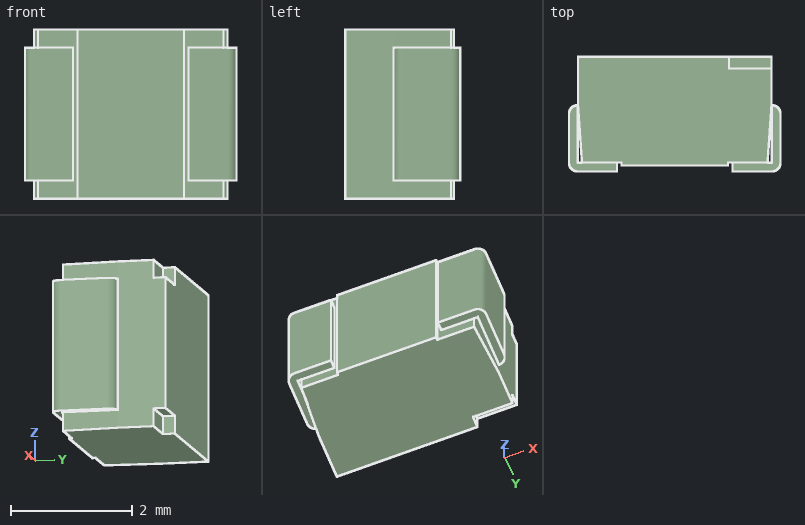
import cadquery as cq
import math


OVERALL_LENGTH = 3.5
OVERALL_HEIGHT = 1.9
BODY_WIDTH = 2.8

TERMINAL_THICKNESS = 0.15
TERMINAL_HEIGHT = 1.1
TERMINAL_WIDTH = 2.2
FOOT_LENGTH = 0.8
CORNER_RADIUS = TERMINAL_THICKNESS

BODY_LENGTH = OVERALL_LENGTH - 2 * TERMINAL_THICKNESS
RIDGE_LENGTH = 1.76
RIDGE_DEPTH = 0.05
DRAFT_ANGLE = 4.0
CONTACT_LAND = 0.01

NOTCH_LENGTH = 0.7
NOTCH_HEIGHT = 0.2
NOTCH_DEPTH = (BODY_WIDTH - TERMINAL_WIDTH) / 2


def make_body():
    """Prism with drafted lower sides and a shallow ridge between the terminal feet."""
    half_length = BODY_LENGTH / 2
    half_ridge = RIDGE_LENGTH / 2
    underside = TERMINAL_THICKNESS
    ridge_face = underside - RIDGE_DEPTH
    draft_start = TERMINAL_HEIGHT - CONTACT_LAND
    draft_inset = (draft_start - underside) * math.tan(math.radians(DRAFT_ANGLE))
    half_underside = half_length - draft_inset
    right_side = [
        (half_ridge, ridge_face),
        (half_ridge, underside),
        (half_underside, underside),
        (half_length, draft_start),
        (half_length, OVERALL_HEIGHT),
    ]
    left_side = [(-x, y) for x, y in reversed(right_side)]
    outline = cq.Workplane("XY").polyline(right_side + left_side).close()
    return outline.extrude(BODY_WIDTH / 2, both=True)


def make_terminal():
    """L-shaped strip at the -X end, rounded at its outer bend and outer tip."""
    outer = -OVERALL_LENGTH / 2
    inner = outer + TERMINAL_THICKNESS
    foot_end = outer + FOOT_LENGTH
    round_end = outer + CORNER_RADIUS
    outline = (
        cq.Workplane("XY")
        .moveTo(foot_end, 0)
        .lineTo(foot_end, TERMINAL_THICKNESS)
        .lineTo(inner, TERMINAL_THICKNESS)
        .lineTo(inner, TERMINAL_HEIGHT)
        .radiusArc((outer, TERMINAL_HEIGHT - CORNER_RADIUS), -CORNER_RADIUS)
        .lineTo(outer, CORNER_RADIUS)
        .radiusArc((round_end, 0), -CORNER_RADIUS)
        .close()
    )
    return outline.extrude(TERMINAL_WIDTH / 2, both=True)


def make_notch():
    """Cutter for the notch at the +Z end."""
    return (
        cq.Workplane("XY")
        .box(NOTCH_LENGTH, NOTCH_HEIGHT, NOTCH_DEPTH)
        .translate((
            (BODY_LENGTH - NOTCH_LENGTH) / 2,
            OVERALL_HEIGHT - NOTCH_HEIGHT / 2,
            (BODY_WIDTH - NOTCH_DEPTH) / 2,
        ))
    )


terminal = make_terminal()
notch = make_notch()

result = (
    make_body()
    .cut(notch)
    .cut(notch.mirror("XY"))
    .union(terminal)
    .union(terminal.mirror("YZ"))
)